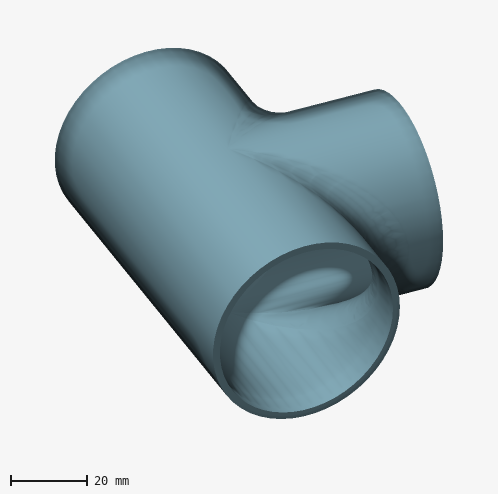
import cadquery as cq
import math

TUBE_DIAMETER = 54.0
WALL = 2.0
RUN_LENGTH = 100.0
BRANCH_REACH = 50.0
CROTCH_RADIUS = 13.0
GUIDE_COUNT = 9

outer_radius = TUBE_DIAMETER / 2
bore_radius = outer_radius - WALL
crotch_center = outer_radius + CROTCH_RADIUS


def rounding_point(radius, angle):
    """Point at mid height on the rounding, from the run (angle 0) to the branch (pi / 2)."""
    rounding_radius = crotch_center - radius
    return cq.Vector(
        crotch_center - rounding_radius * math.sin(angle),
        crotch_center - rounding_radius * math.cos(angle),
        0,
    )


def guide_curve(radius, tip):
    """Half ellipse from the bottom to the top of the Z axis, passing through tip at mid height."""
    origin = cq.Vector(0, 0, 0)
    normal = tip.cross(cq.Vector(0, 0, 1))
    return cq.Edge.makeEllipse(
        tip.Length, radius, pnt=origin, dir=normal, xdir=tip, angle1=-90, angle2=90
    )


def crotch_wedge(radius):
    """Wedge from the Z axis out to the rounding on the +X side of the branch."""
    angle_step = math.pi / 2 / (GUIDE_COUNT - 1)
    tips = [rounding_point(radius, index * angle_step) for index in range(GUIDE_COUNT)]
    guides = [guide_curve(radius, tip) for tip in tips]
    rounding = cq.occ_impl.shapes.loft(*guides)

    axis_edge = cq.Edge.makeLine(cq.Vector(0, 0, radius), cq.Vector(0, 0, -radius))
    flat_sides = [
        cq.Face.makeFromWires(cq.Wire.assembleEdges([guide, axis_edge]))
        for guide in (guides[0], guides[-1])
    ]
    shell = cq.Shell.makeShell([*rounding.Faces(), *flat_sides])
    return cq.Workplane(cq.Solid.makeSolid(shell))


def solid_tee(radius):
    """Filled tee of the given radius, with both crotches rounded."""
    run = cq.Workplane("YZ").circle(radius).extrude(RUN_LENGTH / 2, both=True)
    branch = cq.Workplane("XZ").circle(radius).extrude(-BRANCH_REACH)
    wedge = crotch_wedge(radius)
    return run.union(branch).union(wedge).union(wedge.mirror("YZ"))


result = solid_tee(outer_radius).cut(solid_tee(bore_radius))